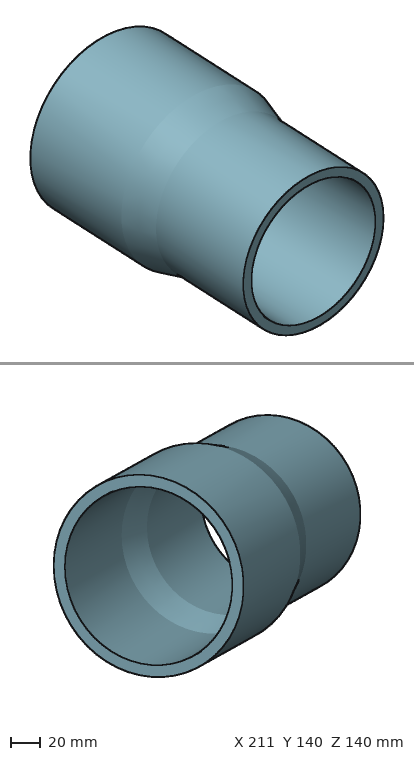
import cadquery as cq

total_length = 211.0
large_end_length = 94.1
transition_length = 27.0
transition_end = large_end_length + transition_length

large_outer_diameter = 140.0
large_inner_diameter = 123.5
small_outer_diameter = 125.0
small_inner_diameter = 110.1


def stepped_solid(large_diameter, small_diameter):
    """Solid of revolution about X: large cylinder, cone, small cylinder."""
    large_radius = large_diameter / 2
    small_radius = small_diameter / 2
    half_profile = (
        cq.Workplane("XY")
        .moveTo(0, 0)
        .lineTo(0, large_radius)
        .lineTo(large_end_length, large_radius)
        .lineTo(transition_end, small_radius)
        .lineTo(total_length, small_radius)
        .lineTo(total_length, 0)
        .close()
    )
    return half_profile.revolve(360, (0, 0, 0), (1, 0, 0))


body = stepped_solid(large_outer_diameter, small_outer_diameter)
bore = stepped_solid(large_inner_diameter, small_inner_diameter)
result = body.cut(bore)